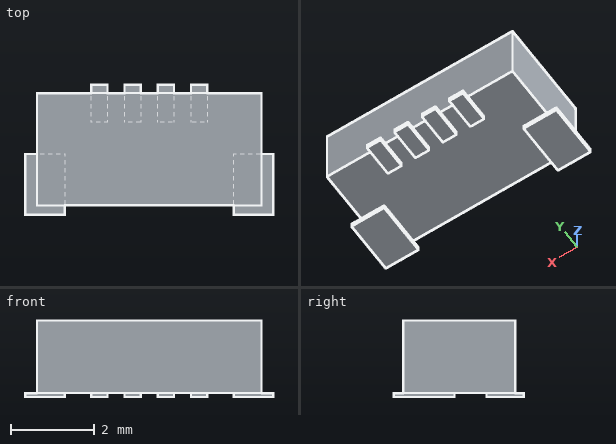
import cadquery as cq

overall_width = 5.96
overall_depth = 3.13
overall_height = 1.85

housing_width = 5.4
housing_depth = 2.7
pad_thickness = 0.1
housing_height = overall_height - pad_thickness

contact_count = 4
contact_width = 0.4
contact_length = 0.9
contact_pitch = 0.8
contact_overhang = 0.2

mount_width = 0.955
mount_length = 1.465

back_y = housing_depth / 2 + contact_overhang
front_y = back_y - overall_depth


def make_housing():
    """Plain block whose underside sits on top of the pads."""
    return (
        cq.Workplane("XY")
        .workplane(offset=pad_thickness)
        .box(housing_width, housing_depth, housing_height, centered=(True, True, False))
    )


def make_pad(width, length, center_x, center_y):
    """Flat rectangular pad with its underside at Z = 0."""
    return (
        cq.Workplane("XY")
        .center(center_x, center_y)
        .box(width, length, pad_thickness, centered=(True, True, False))
    )


def make_contact_pad(index):
    """Contact pad, counted from the -X end of the row."""
    center_x = (index - (contact_count - 1) / 2) * contact_pitch
    return make_pad(contact_width, contact_length, center_x, back_y - contact_length / 2)


def make_mounting_pad(side):
    """Corner pad on the -X (side = -1) or +X (side = 1) end."""
    center_x = side * (overall_width - mount_width) / 2
    return make_pad(mount_width, mount_length, center_x, front_y + mount_length / 2)


housing = make_housing()
contact_pads = [make_contact_pad(index).val() for index in range(contact_count)]
mounting_pads = [make_mounting_pad(side).val() for side in (-1, 1)]

result = cq.Compound.makeCompound([housing.val(), *contact_pads, *mounting_pads])